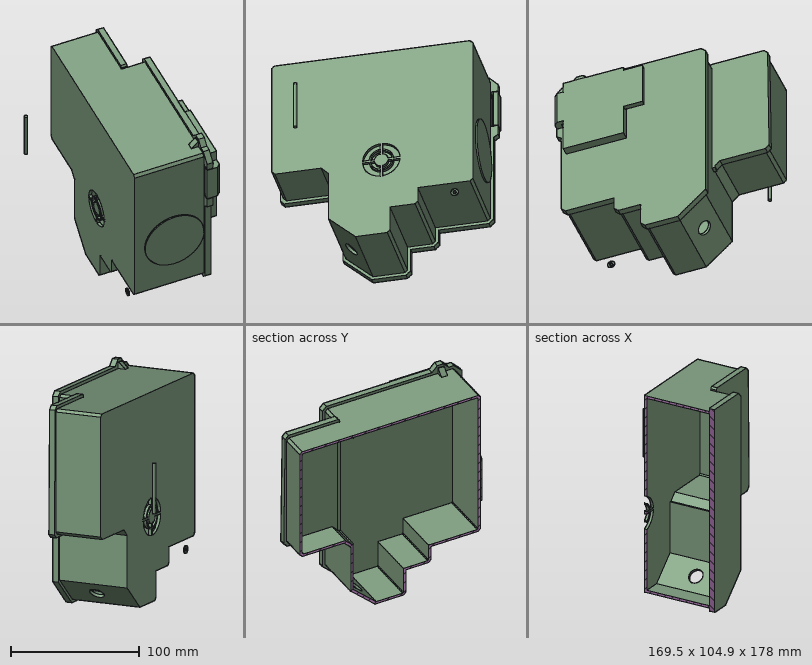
import cadquery as cq
import math

front_y = 34.4
side_depth = 39.2
main_depth = 59.0
lid_thickness = 5.0
side_back_y = front_y + side_depth
main_back_y = front_y + main_depth
lid_back_y = main_back_y + lid_thickness

wall = 2.5
overhang = 2.5
corner = 2.1
left_x = 2.5
step_x = 47.7
right_x = 163.2
foot_right_x = 97.0
ledge_right_x = 119.3
top_z = 170.5
side_bottom_z = 70.1
ledge_bottom_z = 40.4
low_ledge_z = 25.8
foot_z = 2.5
side_corner = 2.5
step_chamfer = 5.7
ramp_foot_x = 69.5
ramp_top_z = 22.5

grille_x = 90.0
grille_z = 70.7
grille_diameter = 29.9
grille_ring_outer = 19.5
grille_ring_inner = 17.0
grille_hub = 11.0
grille_spoke = 1.8

cable_hole_diameter = 12.0

tab_left_x = 142.5
tab_right_x = 157.5
tab_rise = 5.0
tab_slope_run = 4.8
ear_x = 169.5
ear_bottom_z = 119.6
ear_bottom_slope = 2.5
notch_top_z = 159.7
notch_bottom_z = 127.8

rib_left_x = 147.7
rib_width = 5.3
rib_length = 6.2
rib_height = 5.2
rib_flat = 0.5

side_lid_lean = 1.2
side_lid_end_x = 49.7
side_lid_bottom_z = 62.0
side_lid_corner = 3.0
side_lid_end_corner = 1.5

latch_thickness = 6.5
latch_bar_thickness = 3.7
latch_left_x = 111.2
latch_right_x = 161.5
latch_top_z = 168.4
latch_bottom_z = 98.5
bar_left_x = 95.4
bar_top_z = 165.2
bar_bottom_z = 126.5
hook_inner_x = 164.3
hook_taper = 1.5
hook_chamfer = 2.8
hook_clearance = 0.5

cap_diameter = 50.0
cap_thickness = 1.2
cap_y = 67.8
cap_z = 89.0

pin_diameter = 2.7
pin_x = 29.2
pin_bottom_z = 89.4
pin_length = 40.2
bush_outer = 6.0
bush_bore = 2.5
bush_length = 0.9
bush_x = 148.6
bush_z = 32.0


def prism(points, start_y, end_y):
    """Extrude an XZ outline from start_y to end_y."""
    plane = cq.Workplane("XZ", origin=(0, start_y, 0))
    return plane.polyline(points).close().extrude(start_y - end_y)


def box(x_range, y_range, z_range):
    """Box between two limits on each axis."""
    (x0, x1), (y0, y1), (z0, z1) = x_range, y_range, z_range
    return cq.Workplane("XY").box(x1 - x0, y1 - y0, z1 - z0, centered=False).translate((x0, y0, z0))


def disc(diameter, x, z, start_y, length):
    """Cylinder along +Y."""
    return cq.Workplane("XZ", origin=(x, start_y, z)).circle(diameter / 2).extrude(-length)


def main_outline():
    """Outline of the deep part of the housing."""
    return [
        (step_x, ramp_top_z),
        (ramp_foot_x, foot_z),
        (foot_right_x - corner, foot_z),
        (foot_right_x, foot_z + corner),
        (foot_right_x, low_ledge_z),
        (ledge_right_x - corner, low_ledge_z),
        (ledge_right_x, low_ledge_z + corner),
        (ledge_right_x, ledge_bottom_z),
        (right_x - corner, ledge_bottom_z),
        (right_x, ledge_bottom_z + corner),
        (right_x, top_z - corner),
        (right_x - corner, top_z),
        (step_x + corner, top_z),
        (step_x, top_z - corner),
    ]


def side_outline():
    """Outline of the shallow part, running a little way into the deep part."""
    end_x = step_x + 2 * wall
    return [
        (left_x, side_bottom_z + side_corner),
        (left_x + side_corner, side_bottom_z),
        (step_x - step_chamfer, side_bottom_z),
        (step_x, side_bottom_z - step_chamfer),
        (end_x, side_bottom_z - step_chamfer),
        (end_x, top_z),
        (left_x + corner, top_z),
        (left_x, top_z - corner),
    ]


def hollow(outline, back_y):
    """Cavity inside an outline, open at the back."""
    start_y = front_y + wall
    section = cq.Workplane("XZ", origin=(0, start_y, 0)).polyline(outline).close()
    return section.offset2D(-wall, "intersection").extrude(start_y - back_y)


def grille_openings():
    """Two rings of openings, each split in four by the spokes."""
    outer = disc(grille_diameter, grille_x, grille_z, front_y, wall)
    outer = outer.cut(disc(grille_ring_outer, grille_x, grille_z, front_y, wall))
    inner = disc(grille_ring_inner, grille_x, grille_z, front_y, wall)
    inner = inner.cut(disc(grille_hub, grille_x, grille_z, front_y, wall))
    openings = outer.union(inner)
    for size_x, size_z in ((grille_spoke, grille_diameter), (grille_diameter, grille_spoke)):
        spoke = cq.Workplane("XY").box(size_x, wall, size_z)
        openings = openings.cut(spoke.translate((grille_x, front_y + wall / 2, grille_z)))
    return openings


def cable_hole():
    """Hole square to the sloping lower wall, at its middle."""
    run = ramp_foot_x - step_x
    fall = ramp_top_z - foot_z
    centre = cq.Vector(step_x + run / 2, (front_y + lid_back_y) / 2, foot_z + fall / 2)
    inward = cq.Vector(fall, 0, run).normalized()
    hole = cq.Solid.makeCylinder(
        cable_hole_diameter / 2, 4 * wall, centre - inward * (2 * wall), inward
    )
    return cq.Workplane(obj=hole)


def make_rib():
    """Tapered rib standing on the top wall in front of the lid tab."""
    profile = [
        (main_back_y, top_z - wall / 2),
        (main_back_y, top_z + rib_height),
        (main_back_y - rib_flat, top_z + rib_height),
        (main_back_y - rib_length, top_z),
        (main_back_y - rib_length, top_z - wall / 2),
    ]
    plane = cq.Workplane("YZ", origin=(rib_left_x, 0, 0))
    return plane.polyline(profile).close().extrude(rib_width)


def make_housing():
    shell = prism(main_outline(), front_y, main_back_y)
    shell = shell.union(prism(side_outline(), front_y, side_back_y))
    shell = shell.cut(hollow(main_outline(), main_back_y))
    shell = shell.cut(hollow(side_outline(), side_back_y))
    return shell.union(make_rib()).cut(grille_openings()).cut(cable_hole())


def make_main_lid():
    section = cq.Workplane("XZ", origin=(0, main_back_y, 0)).polyline(main_outline()).close()
    lid = section.offset2D(overhang, "intersection").extrude(-lid_thickness)
    rim_top_z = top_z + overhang
    tab = [
        (tab_left_x, rim_top_z),
        (tab_left_x + tab_slope_run, rim_top_z + tab_rise),
        (tab_right_x - tab_slope_run, rim_top_z + tab_rise),
        (tab_right_x, rim_top_z),
        (tab_right_x, top_z),
        (tab_left_x, top_z),
    ]
    rim_x = right_x + overhang
    ear_top_left_x = rim_x - corner - overhang * (2 - math.sqrt(2))
    ear = [
        (ear_top_left_x, rim_top_z),
        (ear_x, rim_top_z - (ear_x - ear_top_left_x)),
        (ear_x, ear_bottom_z),
        (rim_x, ear_bottom_z - ear_bottom_slope),
        (ear_top_left_x, ear_bottom_z - ear_bottom_slope),
    ]
    lid = lid.union(prism(tab, main_back_y, lid_back_y)).union(prism(ear, main_back_y, lid_back_y))
    notch = box((right_x, ear_x), (main_back_y, lid_back_y), (notch_bottom_z, notch_top_z))
    return lid.cut(notch)


def make_side_lid():
    """Plate closing the shallow part, shaped around the deep part."""
    rim_top_z = top_z + overhang
    rim_bottom_z = side_bottom_z - overhang
    rim_left_x = left_x - overhang
    slope_shift = overhang * math.tan(math.radians(22.5))
    outline = [
        (rim_left_x, rim_bottom_z + side_lid_corner),
        (rim_left_x + side_lid_corner, rim_bottom_z),
        (step_x - step_chamfer - slope_shift, rim_bottom_z),
        (step_x - overhang, side_bottom_z - step_chamfer - slope_shift),
        (step_x - overhang, side_lid_bottom_z),
        (side_lid_end_x, side_lid_bottom_z),
        (side_lid_end_x, rim_top_z - side_lid_end_corner),
        (side_lid_end_x - side_lid_end_corner, rim_top_z),
        (rim_left_x + side_lid_lean + side_lid_corner, rim_top_z),
        (rim_left_x + side_lid_lean, rim_top_z - side_lid_corner),
    ]
    end_y = side_back_y + lid_thickness
    lid = prism(outline, side_back_y, end_y)
    return lid.cut(prism(main_outline(), front_y, main_back_y))


def make_latch():
    """Block on the main lid, with a pull bar and a hook that reaches into the lid notch."""
    latch_back_y = lid_back_y + latch_thickness
    bar_front_y = latch_back_y - latch_bar_thickness
    block = box((latch_left_x, latch_right_x), (lid_back_y, latch_back_y), (latch_bottom_z, latch_top_z))
    bar = box((bar_left_x, latch_right_x), (bar_front_y, latch_back_y), (bar_bottom_z, bar_top_z))
    profile = [
        (latch_right_x, bar_front_y),
        (hook_inner_x, bar_front_y),
        (hook_inner_x, lid_back_y),
        (hook_inner_x + hook_taper, main_back_y),
        (ear_x, main_back_y),
        (ear_x, latch_back_y - hook_chamfer),
        (ear_x - hook_chamfer, latch_back_y),
        (latch_right_x, latch_back_y),
    ]
    hook_bottom_z = notch_bottom_z + hook_clearance
    hook_height = notch_top_z - hook_clearance - hook_bottom_z
    hook = cq.Workplane("XY", origin=(0, 0, hook_bottom_z)).polyline(profile).close().extrude(hook_height)
    return block.union(bar).union(hook)


def make_cap():
    return cq.Workplane("YZ", origin=(right_x, cap_y, cap_z)).circle(cap_diameter / 2).extrude(cap_thickness)


def make_pin():
    radius = pin_diameter / 2
    return cq.Workplane("XY", origin=(pin_x, radius, pin_bottom_z)).circle(radius).extrude(pin_length)


def make_bush():
    bush = disc(bush_outer, bush_x, bush_z, front_y, bush_length)
    return bush.cut(disc(bush_bore, bush_x, bush_z, front_y, bush_length))


housing = make_housing()
main_lid = make_main_lid()
side_lid = make_side_lid()
latch = make_latch()
cap = make_cap()
pin = make_pin()
bush = make_bush()

result = cq.Compound.makeCompound([
    housing.val(),
    main_lid.val(),
    side_lid.val(),
    latch.val(),
    cap.val(),
    pin.val(),
    bush.val(),
])